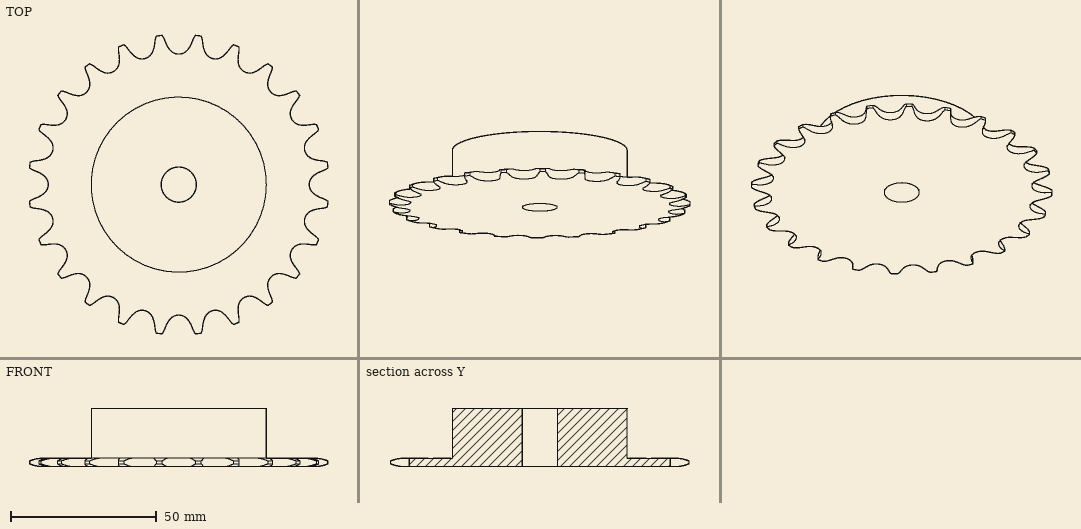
import cadquery as cq
import math

total_height = 20.0
plate_thickness = 3.0
hub_diameter = 60.0
bore_diameter = 12.0

tooth_count = 24
chain_pitch = 12.7
roller_diameter = 7.8
tip_diameter = 103.0
relief_start_radius = 46.6
relief_arc_radius = chain_pitch

pitch_radius = chain_pitch / 2 / math.sin(math.pi / tooth_count)
tip_radius = tip_diameter / 2
overlap = 1.0

seating_degrees = 35 + 60 / tooth_count
working_degrees = 18 - 56 / tooth_count
working_offset_factor = 0.8
topping_offset_factor = 1.4

seating_radius = roller_diameter / 2
seating_angle = math.radians(seating_degrees)
flank_angle = math.radians(seating_degrees - working_degrees)
working_center_distance = working_offset_factor * roller_diameter
working_radius = working_center_distance + seating_radius
topping_center_distance = topping_offset_factor * roller_diameter
half_tooth_angle = math.pi / tooth_count


def offset_point(start, distance, angle):
    """XY point at a distance and angle from start; angle 0 points along +Y, 90 degrees along +X."""
    return (start[0] + distance * math.sin(angle), start[1] + distance * math.cos(angle))


def mirrored(point):
    """The same point on the other side of the X axis."""
    return (point[0], -point[1])


def tooth_gap():
    """Cutter for one gap, centred on the +X axis."""
    roller_center = (pitch_radius, 0)
    root = (pitch_radius - seating_radius, 0)

    working_center = offset_point(roller_center, -working_center_distance, -seating_angle)
    working_start = offset_point(roller_center, seating_radius, -seating_angle)
    working_middle = offset_point(working_center, working_radius, -(seating_angle + flank_angle) / 2)
    working_end = offset_point(working_center, working_radius, -flank_angle)

    topping_center = offset_point(roller_center, topping_center_distance, -half_tooth_angle)
    dx = topping_center[0] - working_end[0]
    dy = topping_center[1] - working_end[1]
    topping_radius = dy * math.cos(flank_angle) - dx * math.sin(flank_angle)
    topping_start = offset_point(topping_center, -topping_radius, -flank_angle)
    outer_x = tip_radius + overlap
    end_angle = math.asin((outer_x - topping_center[0]) / topping_radius)
    topping_end = offset_point(topping_center, -topping_radius, -end_angle)
    topping_middle = offset_point(topping_center, -topping_radius, -(flank_angle + end_angle) / 2)

    return (
        cq.Workplane("XY")
        .moveTo(*mirrored(topping_end))
        .threePointArc(mirrored(topping_middle), mirrored(topping_start))
        .lineTo(*mirrored(working_end))
        .threePointArc(mirrored(working_middle), mirrored(working_start))
        .threePointArc(root, working_start)
        .threePointArc(working_middle, working_end)
        .lineTo(*topping_start)
        .threePointArc(topping_middle, topping_end)
        .close()
        .extrude(plate_thickness)
    )


def toothed_plate():
    """Round plate with both faces curving in toward the rim, then cut into teeth."""
    relief_length = tip_radius - relief_start_radius
    relief_sweep = math.asin(relief_length / relief_arc_radius)

    def relief_point(sweep):
        """Radius and height on the lower relief arc, which starts tangent to the flat face."""
        drop = relief_arc_radius * (1 - math.cos(sweep))
        return (relief_start_radius + relief_arc_radius * math.sin(sweep), drop)

    def upper(point):
        """The matching point on the top face."""
        return (point[0], plate_thickness - point[1])

    middle = relief_point(relief_sweep / 2)
    tip = relief_point(relief_sweep)
    plate = (
        cq.Workplane("XZ")
        .lineTo(relief_start_radius, 0)
        .threePointArc(middle, tip)
        .lineTo(*upper(tip))
        .threePointArc(upper(middle), (relief_start_radius, plate_thickness))
        .lineTo(0, plate_thickness)
        .close()
        .revolve(360, (0, 0, 0), (0, 1, 0))
    )
    gap = tooth_gap()
    gap_step = 360 / tooth_count
    for index in range(tooth_count):
        plate = plate.cut(gap.rotate((0, 0, 0), (0, 0, 1), index * gap_step))
    return plate


def hub():
    return cq.Workplane("XY").circle(hub_diameter / 2).extrude(total_height)


def bore():
    return cq.Workplane("XY").circle(bore_diameter / 2).extrude(total_height)


result = toothed_plate().union(hub()).cut(bore())